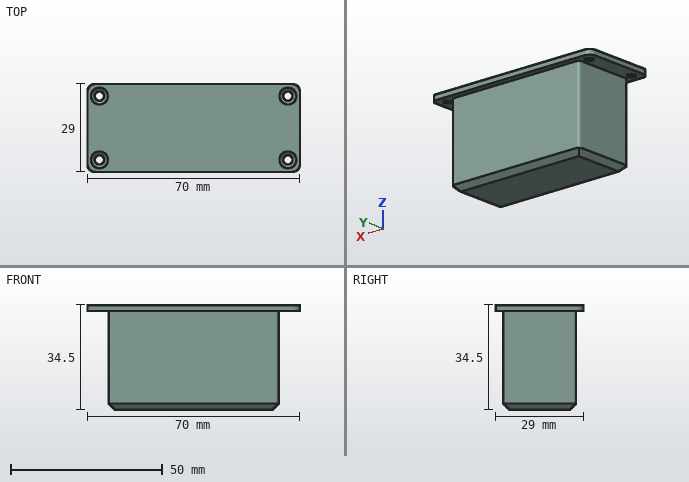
import cadquery as cq

plate_length = 70.0
plate_width = 29.0
plate_thickness = 2.0
plate_corner_radius = 2.5

total_height = 34.5
block_length = 56.0
block_width = 24.0
block_corner_radius = 1.0
bottom_chamfer = 2.1

hole_spacing_x = 62.0
hole_spacing_y = 21.0
hole_diameter = 3.0
countersink_diameter = 5.5
countersink_angle = 90.0


def make_plate():
    """Rounded plate with its underside at Z = 0 and a countersunk hole at each corner."""
    return (
        cq.Workplane("XY")
        .rect(plate_length, plate_width)
        .extrude(plate_thickness)
        .edges("|Z")
        .fillet(plate_corner_radius)
        .faces(">Z")
        .workplane()
        .rect(hole_spacing_x, hole_spacing_y, forConstruction=True)
        .vertices()
        .cskHole(hole_diameter, countersink_diameter, countersink_angle)
    )


def make_block():
    """Solid block below the plate, with rounded upright edges and a chamfered bottom."""
    block_height = total_height - plate_thickness
    rounded_block = (
        cq.Workplane("XY")
        .rect(block_length, block_width)
        .extrude(-block_height)
        .edges("|Z")
        .fillet(block_corner_radius)
    )
    chamfered_block = (
        cq.Workplane("XY")
        .rect(block_length, block_width)
        .extrude(-block_height)
        .faces("<Z")
        .chamfer(bottom_chamfer)
    )
    return rounded_block.intersect(chamfered_block)


result = make_plate().union(make_block())